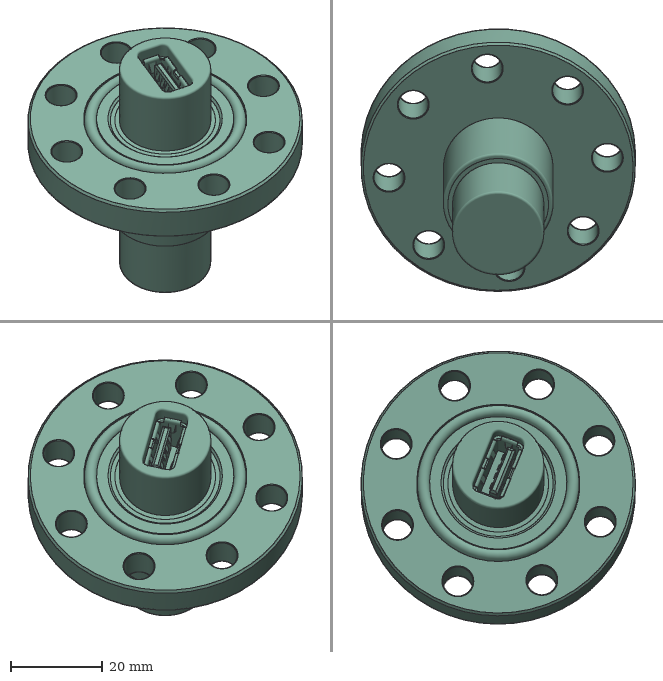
import cadquery as cq
import math

OVERALL_HEIGHT = 57.6
EDGE_BREAK = 0.5

FLANGE_DIAMETER = 60.0
FLANGE_THICKNESS = 8.0
BOLT_COUNT = 8
BOLT_CIRCLE_DIAMETER = 48.0
BOLT_HOLE_DIAMETER = 6.6
BOLT_HOLE_CHAMFER = 0.2

SEAL_OUTER_DIAMETER = 35.4
SEAL_INNER_DIAMETER = 30.0
SEAL_SECTION = (SEAL_OUTER_DIAMETER - SEAL_INNER_DIAMETER) / 2
SEAL_PROUD = 0.6
GROOVE_OUTER_DIAMETER = 35.65
GROOVE_DEPTH = SEAL_SECTION - SEAL_PROUD

TUBE_DIAMETER = 24.0
SLEEVE_DIAMETER = 22.0
CORE_DIAMETER = 20.0
CORE_TOP = 15.0
CORE_BOTTOM = CORE_TOP - OVERALL_HEIGHT
TUBE_TOP = -EDGE_BREAK
CORE_PROTRUSION = CORE_TOP - TUBE_TOP
TUBE_BOTTOM = CORE_BOTTOM + CORE_PROTRUSION

RECESS_LENGTH = 14.4
RECESS_WIDTH = 7.2
RECESS_CORNER = 1.45
RECESS_DEPTH = 3.6
RECESS_FLOOR = CORE_TOP - RECESS_DEPTH

SHEET = 0.35
SHELL_LENGTH = 12.5
SHELL_WIDTH = 5.15
SHELL_CORNER = 0.35
SHELL_DEPTH = 12.0
SHELL_BOTTOM = RECESS_FLOOR - SHELL_DEPTH
LIP_RISE = 0.9
LIP_RADIUS = 0.6
LIP_FLAT = 0.3
LONG_LIP_INNER_END = 1.2
LONG_LIP_OUTER_END = 5.7
LONG_LIP_LENGTH = LONG_LIP_OUTER_END - LONG_LIP_INNER_END
LONG_LIP_OFFSET = (LONG_LIP_OUTER_END + LONG_LIP_INNER_END) / 2
SHORT_LIP_LENGTH = 3.8

SPRING_TOP = RECESS_FLOOR - 0.2
SPRING_HEIGHT = 2.4
SPRING_WIDTH = 1.5
SPRING_REACH = 0.65
SPRING_OFFSET = 3.0
SIDE_SPRING_WIDTH = 1.7
SIDE_SPRING_TIP_WIDTH = 1.0
SIDE_SPRING_REACH = 0.55

BASE_THICKNESS = 3.0
BASE_TOP = SHELL_BOTTOM + BASE_THICKNESS
TONGUE_TOP = RECESS_FLOOR + 0.3
TONGUE_LENGTH = 11.0
TONGUE_WIDTH = 1.8
TONGUE_UNDERSIDE = 0.09
TONGUE_Y = TONGUE_UNDERSIDE + TONGUE_WIDTH / 2
TONGUE_TIP_LENGTH = 9.85
TONGUE_TIP_WIDTH = 0.9
TONGUE_TIP_Y = 0.9
TONGUE_TIP_HEIGHT = 0.55
CONTACT_WIDTH = 1.2
CONTACT_REACH = 0.55
CONTACT_HEIGHT = 1.8
CONTACT_TOP = TONGUE_TOP - 1.2
CONTACT_POSITIONS = (-3.5, -1.0, 1.0, 3.5)

HALF_TURN = ((0, 0, 0), (0, 0, 1), 180)
QUARTER_TURN = ((0, 0, 0), (0, 0, 1), 90)


def cylinder(diameter, bottom, top):
    return cq.Workplane("XY").workplane(offset=bottom).circle(diameter / 2).extrude(top - bottom)


def box(length, width, bottom, top):
    return cq.Workplane("XY").workplane(offset=bottom).rect(length, width).extrude(top - bottom)


def rounded_box(length, width, corner, bottom, top):
    return box(length, width, bottom, top).edges("|Z").fillet(corner)


def make_flange():
    flange = cylinder(FLANGE_DIAMETER, -FLANGE_THICKNESS, 0)
    flange = flange.faces("<Z or >Z").edges().chamfer(EDGE_BREAK)
    bolt_holes = (
        cq.Workplane("XY")
        .workplane(offset=-FLANGE_THICKNESS)
        .polarArray(BOLT_CIRCLE_DIAMETER / 2, 0, 360, BOLT_COUNT)
        .circle(BOLT_HOLE_DIAMETER / 2)
        .extrude(FLANGE_THICKNESS)
    )
    flange = flange.cut(bolt_holes)
    hole_rims = cq.selectors.RadiusNthSelector(0)
    flange = flange.faces("<Z or >Z").edges(hole_rims).chamfer(BOLT_HOLE_CHAMFER)
    flange = flange.cut(cylinder(TUBE_DIAMETER, -FLANGE_THICKNESS, 0))
    bore_rim = cq.selectors.RadiusNthSelector(1)
    flange = flange.faces(">Z").edges(bore_rim).chamfer(EDGE_BREAK)
    groove = cylinder(GROOVE_OUTER_DIAMETER, -GROOVE_DEPTH, 0)
    groove = groove.cut(cylinder(SEAL_INNER_DIAMETER, -GROOVE_DEPTH, 0))
    return flange.cut(groove)


def make_seal():
    mean_radius = (SEAL_OUTER_DIAMETER + SEAL_INNER_DIAMETER) / 4
    section_radius = SEAL_SECTION / 2
    return (
        cq.Workplane("XZ")
        .center(mean_radius, SEAL_PROUD - section_radius)
        .circle(section_radius)
        .revolve(360, (-mean_radius, 0), (-mean_radius, 1))
    )


def make_tube():
    tube = cylinder(TUBE_DIAMETER, TUBE_BOTTOM, TUBE_TOP).faces("<Z").edges().fillet(EDGE_BREAK)
    return tube.cut(cylinder(SLEEVE_DIAMETER, TUBE_BOTTOM, TUBE_TOP))


def make_sleeve():
    sleeve = cylinder(SLEEVE_DIAMETER, TUBE_BOTTOM, TUBE_TOP)
    return sleeve.cut(cylinder(CORE_DIAMETER, TUBE_BOTTOM, TUBE_TOP))


def shell_envelope():
    return rounded_box(
        SHELL_LENGTH + 2 * SHEET,
        SHELL_WIDTH + 2 * SHEET,
        SHELL_CORNER + SHEET,
        SHELL_BOTTOM,
        RECESS_FLOOR,
    )


def shell_cavity():
    return rounded_box(SHELL_LENGTH, SHELL_WIDTH, SHELL_CORNER, SHELL_BOTTOM, RECESS_FLOOR)


def make_core():
    core = cylinder(CORE_DIAMETER, CORE_BOTTOM, CORE_TOP)
    core = core.faces("<Z or >Z").edges().fillet(EDGE_BREAK)
    recess = rounded_box(RECESS_LENGTH, RECESS_WIDTH, RECESS_CORNER, RECESS_FLOOR, CORE_TOP)
    core = core.cut(recess)
    rim_reach_x = RECESS_LENGTH / 2 + EDGE_BREAK
    rim_reach_y = RECESS_WIDTH / 2 + EDGE_BREAK
    rim = cq.selectors.BoxSelector(
        (-rim_reach_x, -rim_reach_y, CORE_TOP - EDGE_BREAK),
        (rim_reach_x, rim_reach_y, CORE_TOP + EDGE_BREAK),
        boundingbox=True,
    )
    core = core.edges(rim).fillet(EDGE_BREAK)
    return core.cut(shell_envelope())


def make_lip(wall, length, along):
    """Sheet lip on the +Y wall at Y = wall, curling outward to a flat edge."""
    arc_y = wall + LIP_RADIUS
    lip_top = RECESS_FLOOR + LIP_RISE
    arc_z = lip_top - LIP_RADIUS
    outer_radius = LIP_RADIUS - SHEET
    diagonal = math.sqrt(0.5)
    return (
        cq.Workplane("YZ")
        .workplane(offset=along - length / 2)
        .moveTo(wall, RECESS_FLOOR)
        .lineTo(wall, arc_z)
        .threePointArc(
            (arc_y - LIP_RADIUS * diagonal, arc_z + LIP_RADIUS * diagonal), (arc_y, lip_top)
        )
        .lineTo(arc_y + LIP_FLAT, lip_top)
        .lineTo(arc_y + LIP_FLAT, lip_top - SHEET)
        .lineTo(arc_y, lip_top - SHEET)
        .threePointArc(
            (arc_y - outer_radius * diagonal, arc_z + outer_radius * diagonal),
            (arc_y - outer_radius, arc_z),
        )
        .lineTo(wall + SHEET, RECESS_FLOOR)
        .close()
        .extrude(length)
    )


def make_lips():
    lips = []
    for along in (-LONG_LIP_OFFSET, LONG_LIP_OFFSET):
        lip = make_lip(SHELL_WIDTH / 2, LONG_LIP_LENGTH, along)
        lips += [lip, lip.rotate(*HALF_TURN)]
    end_lip = make_lip(SHELL_LENGTH / 2, SHORT_LIP_LENGTH, 0).rotate(*QUARTER_TURN)
    return lips + [end_lip, end_lip.rotate(*HALF_TURN)]


def ramp(wall, reach, top, height, width, along):
    """Wedge standing on a wall at Y = wall that slopes down and inward to Y = wall - reach."""
    return (
        cq.Workplane("YZ")
        .workplane(offset=along - width / 2)
        .moveTo(wall, top)
        .lineTo(wall - reach, top - height)
        .lineTo(wall, top - height)
        .close()
        .extrude(width)
    )


def make_springs():
    springs = []
    for along in (-SPRING_OFFSET, SPRING_OFFSET):
        spring = ramp(
            SHELL_WIDTH / 2, SPRING_REACH, SPRING_TOP, SPRING_HEIGHT, SPRING_WIDTH, along
        )
        springs += [spring, spring.rotate(*HALF_TURN)]

    wall = SHELL_LENGTH / 2
    tip = wall - SIDE_SPRING_REACH
    tapered_plan = (
        cq.Workplane("XY")
        .workplane(offset=SPRING_TOP - SPRING_HEIGHT)
        .moveTo(-SIDE_SPRING_WIDTH / 2, wall)
        .lineTo(SIDE_SPRING_WIDTH / 2, wall)
        .lineTo(SIDE_SPRING_TIP_WIDTH / 2, tip)
        .lineTo(-SIDE_SPRING_TIP_WIDTH / 2, tip)
        .close()
        .extrude(SPRING_HEIGHT)
    )
    side_spring = ramp(
        wall, SIDE_SPRING_REACH, SPRING_TOP, SPRING_HEIGHT, SIDE_SPRING_WIDTH, 0
    ).intersect(tapered_plan)
    side_spring = side_spring.rotate(*QUARTER_TURN)
    return springs + [side_spring, side_spring.rotate(*HALF_TURN)]


def make_shell():
    shell = shell_envelope().cut(shell_cavity())
    for detail in make_lips() + make_springs():
        shell = shell.union(detail)
    return shell


def make_insulator():
    """Base block that fills the shell bottom, with the contact tongue rising from it."""
    base = rounded_box(SHELL_LENGTH, SHELL_WIDTH, SHELL_CORNER, SHELL_BOTTOM, BASE_TOP)
    tongue_shoulder = TONGUE_TOP - TONGUE_TIP_HEIGHT
    tongue = box(TONGUE_LENGTH, TONGUE_WIDTH, BASE_TOP, tongue_shoulder)
    tongue = tongue.translate((0, TONGUE_Y, 0))
    tip = (
        cq.Workplane("XY")
        .workplane(offset=tongue_shoulder)
        .center(0, TONGUE_Y)
        .rect(TONGUE_LENGTH, TONGUE_WIDTH)
        .workplane(offset=TONGUE_TIP_HEIGHT)
        .center(0, TONGUE_TIP_Y - TONGUE_Y)
        .rect(TONGUE_TIP_LENGTH, TONGUE_TIP_WIDTH)
        .loft(ruled=True)
    )
    insulator = base.union(tongue).union(tip)
    for along in CONTACT_POSITIONS:
        contact = ramp(
            TONGUE_UNDERSIDE, CONTACT_REACH, CONTACT_TOP, CONTACT_HEIGHT, CONTACT_WIDTH, along
        )
        insulator = insulator.union(contact)
    return insulator


bodies = [
    make_flange(),
    make_seal(),
    make_tube(),
    make_sleeve(),
    make_core(),
    make_shell(),
    make_insulator(),
]
result = cq.Compound.makeCompound([body.solids().val() for body in bodies])